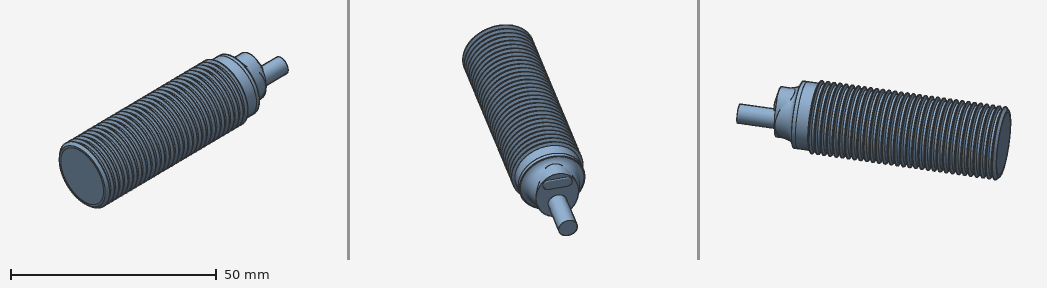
import cadquery as cq
import math

sleeve_length = 50.0
flange_length = 1.0
cap_length = 4.91
cable_length = 10.0

crest_radius = 9.0
root_radius = 8.27
bore_radius = 7.7
ridge_count = 31
ridge_pitch = 1.5225
first_ridge = 0.8
crest_width = 0.15
flank_angle = 28.0

neck_radius = 8.0
cone_angle = 15.0
cone_start = 52.55
cone_end = 54.6
cone_end_radius = 5.97
chamfer_start = 55.02
chamfer_start_radius = 5.79
rear_face_radius = 5.25

boss_half_width = 5.35
boss_half_height = 6.72

window_width = 7.3
window_height = 2.6
window_depth = 0.5
window_z = 3.9
window_edge_fillet = 0.15

cable_diameter = 4.74

crest_half = crest_width / 2
base_half = crest_half + (crest_radius - root_radius) * math.tan(math.radians(flank_angle))
flange_end = sleeve_length + flange_length
cap_end = flange_end + cap_length
cone_start_radius = cone_end_radius + (cone_end - cone_start) * math.tan(math.radians(cone_angle))


def cross_plane(y):
    """Sketch plane across the main axis, with its local Y along Z; extrusion runs toward -Y."""
    return cq.Workplane("XZ", origin=(0, y, 0))


def revolve_about_y(profile):
    return profile.close().revolve(360, (0, 0, 0), (0, 1, 0))


def make_sleeve():
    profile = cq.Workplane("XY").moveTo(bore_radius, 0).lineTo(root_radius, 0)
    for index in range(ridge_count):
        center = first_ridge + index * ridge_pitch
        if index > 0:
            profile = profile.lineTo(root_radius, center - base_half)
        profile = (
            profile.lineTo(crest_radius, center - crest_half)
            .lineTo(crest_radius, center + crest_half)
            .lineTo(root_radius, center + base_half)
        )
    profile = profile.lineTo(root_radius, sleeve_length).lineTo(bore_radius, sleeve_length)
    return revolve_about_y(profile)


def make_core_and_cap():
    profile = (
        cq.Workplane("XY")
        .moveTo(0, cap_end)
        .lineTo(rear_face_radius, cap_end)
        .lineTo(chamfer_start_radius, chamfer_start)
        .tangentArcPoint((cone_end_radius, cone_end), relative=False)
        .lineTo(cone_start_radius, cone_start)
        .tangentArcPoint((neck_radius, flange_end), relative=False)
        .lineTo(root_radius, flange_end)
        .lineTo(root_radius, sleeve_length)
        .lineTo(bore_radius, sleeve_length)
        .lineTo(bore_radius, 0)
        .lineTo(0, 0)
    )
    return revolve_about_y(profile)


def make_boss():
    return cross_plane(cap_end).ellipse(boss_half_width, boss_half_height).extrude(cap_length)


def make_window():
    return (
        cross_plane(cap_end)
        .center(0, window_z)
        .slot2D(window_width, window_height)
        .extrude(-window_depth)
        .faces(">Y")
        .edges()
        .fillet(window_edge_fillet)
    )


def make_cable():
    return (
        cross_plane(cap_end)
        .center(0, -cable_diameter / 2)
        .circle(cable_diameter / 2)
        .extrude(-cable_length)
    )


def make_insert():
    return make_core_and_cap().union(make_boss()).union(make_window()).union(make_cable())


sleeve = make_sleeve()
insert = make_insert()

result = cq.Compound.makeCompound([sleeve.val(), insert.val()])